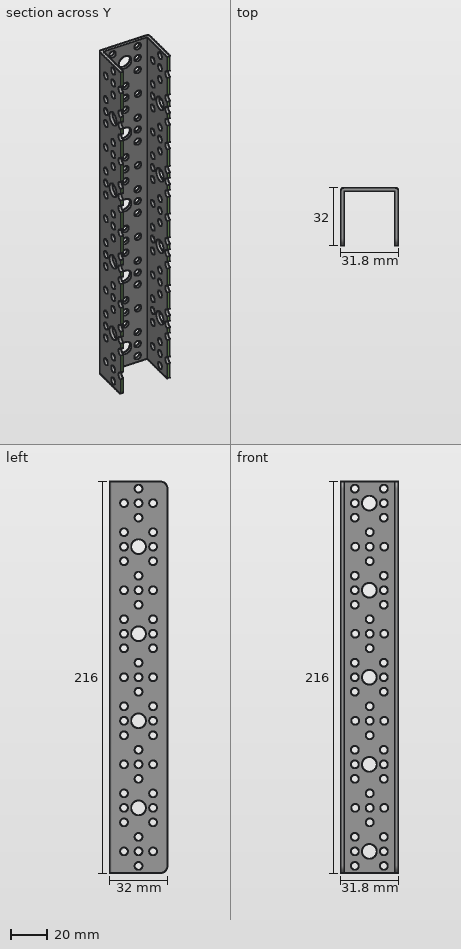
import cadquery as cq

width = 31.8
depth = 32.0
length = 216.0
wall = 2.0
bend_radius = 1.5
flange_corner_radius = 4.0

pitch = 8.0
small_hole = 4.2
large_hole = 8.0
row_count = round(length / pitch)
rows_per_repeat = 6

web_large_row = 1
flange_large_row = 4

web_group_offset = 0.1


def make_channel():
    """U-shaped channel with rounded bends and rounded free flange corners."""
    body = cq.Workplane("XY").box(width, depth, length)
    body = body.edges("|Z and >Y").fillet(bend_radius)
    body = body.edges("|X and <Y").fillet(flange_corner_radius)
    cavity = (
        cq.Workplane("XY")
        .box(width - 2 * wall, depth, length)
        .translate((0, -wall, 0))
    )
    return body.cut(cavity)


def hole_pattern(large_row, group_offset):
    """Small and large hole centres as (across, Z) for a pattern led by large_row.

    A large hole with small ones on both sides alternates with a cross of five small holes.
    Large-hole groups shift by -group_offset across the wall and crosses by +group_offset.
    """
    half_repeat = rows_per_repeat // 2
    small_centres = []
    large_centres = []
    for row in range(row_count):
        z = (row + 0.5) * pitch - length / 2
        step = (row - large_row) % rows_per_repeat
        beside_large = step in (0, 1, rows_per_repeat - 1)
        cross_middle = step == half_repeat
        centre = -group_offset if beside_large else group_offset
        if step == 0:
            large_centres.append((centre, z))
        if not beside_large:
            small_centres.append((centre, z))
        if beside_large or cross_middle:
            small_centres.append((centre - pitch, z))
            small_centres.append((centre + pitch, z))
    return small_centres, large_centres


def hole_cutters(plane, large_row, reach, group_offset=0.0):
    """Cylinders for one hole pattern, extending reach from plane to both sides."""
    small_centres, large_centres = hole_pattern(large_row, group_offset)
    small = cq.Workplane(plane).pushPoints(small_centres).circle(small_hole / 2)
    large = cq.Workplane(plane).pushPoints(large_centres).circle(large_hole / 2)
    return small.extrude(reach, both=True).union(large.extrude(reach, both=True))


channel = make_channel()
web_holes = hole_cutters("XZ", web_large_row, depth, web_group_offset)
flange_holes = hole_cutters("YZ", flange_large_row, width)
result = channel.cut(web_holes).cut(flange_holes)